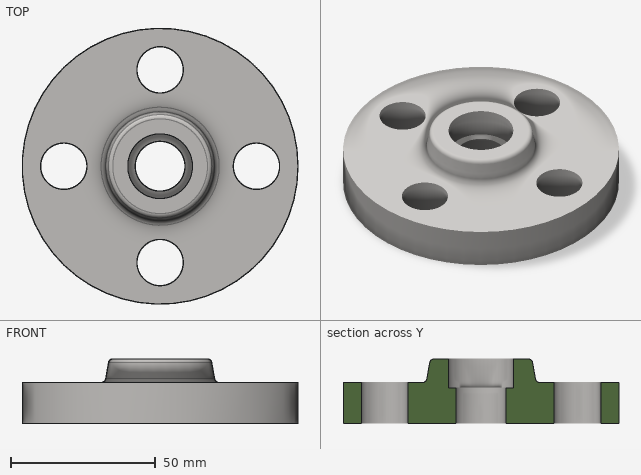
import cadquery as cq
import math

flange_diameter = 95.25
flange_thickness = 14.2
overall_height = 22.35

hub_base_diameter = 38.1
hub_taper_angle = 10.0
hub_rim_radius = 1.5
hub_root_radius = 1.6

bore_diameter = 17.1
socket_diameter = 22.35
socket_depth = 10.0

bolt_hole_count = 4
bolt_hole_diameter = 15.9
bolt_circle_diameter = 66.5

hub_height = overall_height - flange_thickness
hub_top_diameter = hub_base_diameter - 2 * hub_height * math.tan(math.radians(hub_taper_angle))


def make_flange():
    """Plain disc standing on Z = 0."""
    return cq.Workplane("XY").circle(flange_diameter / 2).extrude(flange_thickness)


def add_hub(body):
    """Tapered hub on the disc, rounded at its top rim and at its root."""
    hub = (
        cq.Workplane("XY")
        .workplane(offset=flange_thickness)
        .circle(hub_base_diameter / 2)
        .workplane(offset=hub_height)
        .circle(hub_top_diameter / 2)
        .loft(ruled=True)
    )
    hub = hub.faces(">Z").edges().fillet(hub_rim_radius)
    root_edge = cq.selectors.RadiusNthSelector(0)
    flange_top = cq.selectors.NearestToPointSelector((flange_diameter / 2, 0, flange_thickness))
    body = body.union(hub)
    return body.faces(flange_top).edges(root_edge).fillet(hub_root_radius)


def cut_bore(body):
    """Through bore, widened from the top into the pipe socket."""
    bore = cq.Workplane("XY").circle(bore_diameter / 2).extrude(overall_height)
    socket = (
        cq.Workplane("XY")
        .workplane(offset=overall_height - socket_depth)
        .circle(socket_diameter / 2)
        .extrude(socket_depth)
    )
    return body.cut(bore).cut(socket)


def cut_bolt_holes(body):
    """Through holes evenly spaced on the bolt circle, the first on +X."""
    holes = (
        cq.Workplane("XY")
        .polarArray(bolt_circle_diameter / 2, 0, 360, bolt_hole_count)
        .circle(bolt_hole_diameter / 2)
        .extrude(flange_thickness)
    )
    return body.cut(holes)


result = cut_bolt_holes(cut_bore(add_hub(make_flange())))